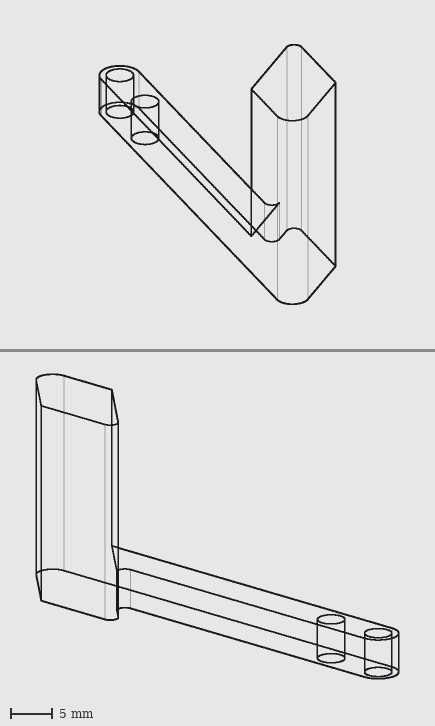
import cadquery as cq
import math

length = 57.25
depth = 10.0
height = 25.0

arm_width = 5.0
arm_thickness = 5.0
arm_end_radius = arm_width / 2
hole_diameter = 3.3
hole_spacing = 7.55

head_width = 12.6
tip_radius = 1.0
heel_radius = 2.0
neck_radius = 1.0

tangent_ratio = 1 / math.tan(math.radians(45 / 2))

heel_corner_x = length + heel_radius * (tangent_ratio - 1)
head_start_x = heel_corner_x - head_width
neck_corner_x = head_start_x - arm_width


def make_head():
    """Parallelogram block with its two acute vertical edges rounded."""
    block = (
        cq.Workplane("XY")
        .polyline([
            (head_start_x, 0),
            (heel_corner_x, 0),
            (heel_corner_x - depth, depth),
            (head_start_x - depth, depth),
        ])
        .close()
        .extrude(height)
    )
    block = block.edges("|Z and >X").fillet(heel_radius)
    return block.edges("|Z and <X").fillet(tip_radius)


def make_arm():
    """Bar with a round end, running into the head along its slanted side."""
    neck_center_x = neck_corner_x - neck_radius * tangent_ratio
    neck_center_y = arm_width + neck_radius
    diagonal = neck_radius / math.sqrt(2)
    neck_end = (neck_center_x + diagonal, neck_center_y + diagonal)
    neck_mid_angle = math.radians(-45 / 2)
    neck_mid = (
        neck_center_x + neck_radius * math.cos(neck_mid_angle),
        neck_center_y + neck_radius * math.sin(neck_mid_angle),
    )
    overlap = head_width / 4
    return (
        cq.Workplane("XY")
        .moveTo(arm_end_radius, 0)
        .lineTo(head_start_x + overlap, 0)
        .lineTo(neck_end[0] + overlap, neck_end[1])
        .lineTo(*neck_end)
        .threePointArc(neck_mid, (neck_center_x, arm_width))
        .lineTo(arm_end_radius, arm_width)
        .threePointArc((0, arm_end_radius), (arm_end_radius, 0))
        .close()
        .extrude(arm_thickness)
    )


hole_positions = [(arm_end_radius + i * hole_spacing, arm_width / 2) for i in range(2)]
holes = (
    cq.Workplane("XY")
    .pushPoints(hole_positions)
    .circle(hole_diameter / 2)
    .extrude(arm_thickness)
)

result = make_head().union(make_arm()).cut(holes)